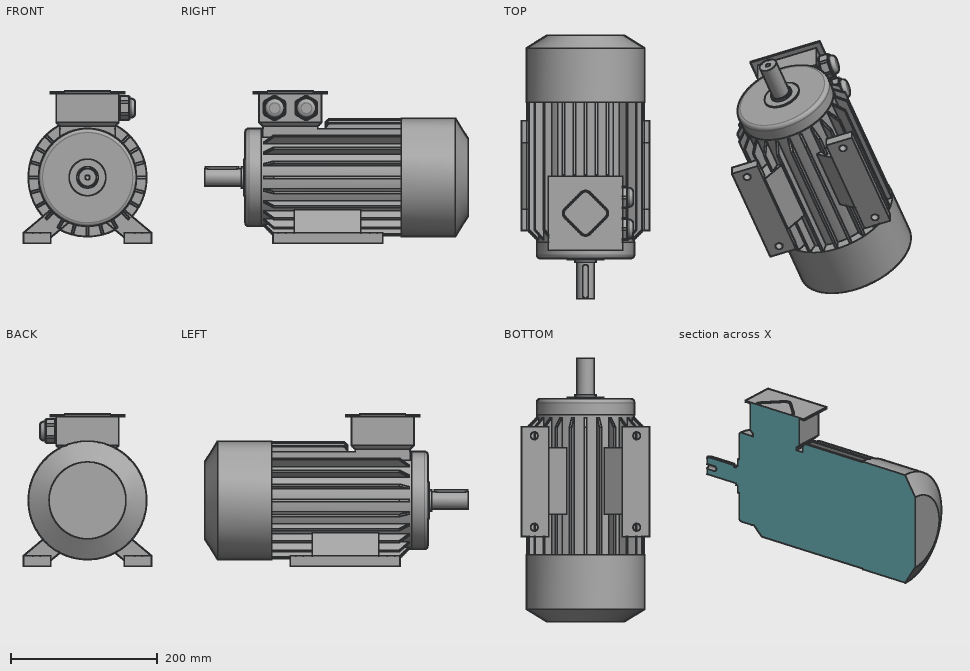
import cadquery as cq
import math


collar_front = 50.0
cover_disc_front = 53.3
shield_front = 55.0
shield_rear = 77.5
cowl_front = 268.5
cowl_cone_front = 342.5
motor_rear = 360.0

shaft_diameter = 24.0
collar_diameter = 29.0
cover_disc_diameter = 50.0
shield_diameter = 134.0
shield_fillet = 5.5
body_diameter = 133.0
cowl_diameter = 162.0
cowl_rear_diameter = 105.0
centre_hole_diameter = 6.5
centre_hole_depth = 14.5
centre_hole_tip_angle = 118

key_width = 8.0
key_length = 45.7
key_front = 1.0
key_top = 14.8
key_height = 7.0

fin_thickness = 3.2
fin_radius = 80.0
fin_pitch_angle = 15
fin_span_half_angle = 135
fin_front = 81.0
top_fin_front = 165.0
top_fin_spacing = 15.0
top_fin_count = 5
top_fin_chamfer = 4.5

box_centre_y = 117.0
box_size = 85.5
box_bottom = 70.0
box_top = 114.0
saddle_width = 75.2
saddle_top = 66.5
box_bottom_chamfer = (box_size - saddle_width) / 2
lid_size = 101.0
lid_top = 116.5

frame_size = 49.5
frame_corner_radius = 9.0
frame_width = 1.8
frame_height = 1.5

gland_spacing = 43.2
gland_axis_z = 94.5
gland_across_flats = 30.2
hexagon_sides = 6
gland_corner_diameter = 33.0
gland_nut_start = 44.5
gland_nut_end = 56.0
gland_washer_end = 58.0
gland_cap_diameter = 26.3
gland_cap_end = 65.0
gland_cap_fillet = 5.8

foot_half_span = 87.5
foot_width = 37.5
foot_length = 150.0
foot_height = 14.5
foot_bottom = -90.0
foot_front = 93.2
foot_hole_diameter = 10.0
foot_hole_inset = 12.5
foot_hole_x = 70.0
leg_front = 122.5
leg_length = 90.7
leg_angle = 40
leg_drop = 6.5
leg_reach = 54.0


def cylinder_along_y(diameter, start, end):
    return cq.Workplane("XZ", origin=(0, start, 0)).circle(diameter / 2).extrude(start - end)


def cylinder_along_x(diameter, start, end):
    return cq.Workplane("YZ", origin=(start, 0, 0)).circle(diameter / 2).extrude(end - start)


def block(x_size, y_start, y_end, z_start, z_end):
    """Box centred on X = 0."""
    return (
        cq.Workplane("XY", origin=(0, y_start, z_start))
        .box(x_size, y_end - y_start, z_end - z_start, centered=(True, False, False))
    )


def make_housing():
    shield = cylinder_along_y(shield_diameter, shield_front, shield_rear)
    shield = shield.faces("<Y").edges().fillet(shield_fillet)
    body = cylinder_along_y(body_diameter, shield_rear, cowl_front)
    cowl = (
        cq.Workplane("XY")
        .moveTo(0, cowl_front)
        .lineTo(cowl_diameter / 2, cowl_front)
        .lineTo(cowl_diameter / 2, cowl_cone_front)
        .lineTo(cowl_rear_diameter / 2, motor_rear)
        .lineTo(0, motor_rear)
        .close()
        .revolve(360, (0, 0, 0), (0, 1, 0))
    )
    cover_disc = cylinder_along_y(cover_disc_diameter, cover_disc_front, shield_front)
    return shield.union(body).union(cowl).union(cover_disc)


def make_shaft():
    shaft = cylinder_along_y(shaft_diameter, 0, shield_front)
    collar = cylinder_along_y(collar_diameter, collar_front, shield_front)
    key = (
        cq.Workplane("XY", origin=(0, key_front + key_length / 2, key_top - key_height))
        .slot2D(key_length, key_width, 90)
        .extrude(key_height)
    )
    hole_radius = centre_hole_diameter / 2
    tip_depth = hole_radius / math.tan(math.radians(centre_hole_tip_angle / 2))
    centre_hole = (
        cq.Workplane("XY")
        .lineTo(hole_radius, 0)
        .lineTo(hole_radius, centre_hole_depth)
        .lineTo(0, centre_hole_depth + tip_depth)
        .close()
        .revolve(360, (0, 0, 0), (0, 1, 0))
    )
    return shaft.union(collar).union(key).cut(centre_hole)


def fin_envelope(front, chamfer):
    """Solid of revolution that bounds the fins: full radius, with a 45 degree cone at the front."""
    return cylinder_along_y(2 * fin_radius, front, cowl_front).faces("<Y").edges().chamfer(chamfer)


def make_radial_fins():
    fin_blank = block(fin_thickness, fin_front, cowl_front, 0, cowl_diameter / 2)
    fins = cq.Workplane("XY")
    for angle in range(-fin_span_half_angle, fin_span_half_angle + 1, fin_pitch_angle):
        fins = fins.union(fin_blank.rotate((0, 0, 0), (0, 1, 0), 180 + angle))
    return fins.intersect(fin_envelope(fin_front, fin_radius - body_diameter / 2))


def make_top_fins():
    fin_blank = block(fin_thickness, top_fin_front, cowl_front, 0, cowl_diameter / 2)
    fins = cq.Workplane("XY")
    for index in range(top_fin_count):
        offset = (index - (top_fin_count - 1) / 2) * top_fin_spacing
        fins = fins.union(fin_blank.translate((offset, 0, 0)))
    return fins.intersect(fin_envelope(top_fin_front, top_fin_chamfer))


def make_terminal_box():
    saddle_front = box_centre_y - saddle_width / 2
    saddle_rear = box_centre_y + saddle_width / 2
    saddle = block(saddle_width, saddle_front, cowl_front, 0, saddle_top)
    pedestal = block(saddle_width, saddle_front, saddle_rear, 0, box_bottom)
    box_front = box_centre_y - box_size / 2
    box = block(box_size, box_front, box_front + box_size, box_bottom, box_top)
    box = box.faces("<Z").edges().chamfer(box_bottom_chamfer)
    lid_front = box_centre_y - lid_size / 2
    lid = block(lid_size, lid_front, lid_front + lid_size, box_top, lid_top)
    return saddle.union(pedestal).union(box).union(lid)


def rounded_square(size, corner_radius):
    return cq.Workplane("XY").rect(size, size).extrude(frame_height).edges("|Z").fillet(corner_radius)


def make_lid_frame():
    outer = rounded_square(frame_size, frame_corner_radius)
    inner = rounded_square(frame_size - 2 * frame_width, frame_corner_radius - frame_width)
    return outer.cut(inner).rotate((0, 0, 0), (0, 0, 1), 45).translate((0, box_centre_y, lid_top))


def make_gland():
    """Cable gland along +X: hexagon nut with rounded corners, washer and domed cap."""
    washer = cylinder_along_x(gland_across_flats, box_size / 2, gland_washer_end)
    half_side_angle = 180 / hexagon_sides
    across_corners = gland_across_flats / math.cos(math.radians(half_side_angle))
    nut = (
        cq.Workplane("YZ", origin=(gland_nut_start, 0, 0))
        .polygon(hexagon_sides, across_corners)
        .extrude(gland_nut_end - gland_nut_start)
        .rotate((0, 0, 0), (1, 0, 0), half_side_angle)
        .intersect(cylinder_along_x(gland_corner_diameter, gland_nut_start, gland_nut_end))
    )
    cap = cylinder_along_x(gland_cap_diameter, gland_washer_end, gland_cap_end)
    cap = cap.faces(">X").edges().fillet(gland_cap_fillet)
    return washer.union(nut).union(cap)


def make_glands():
    gland = make_gland()
    front = gland.translate((0, box_centre_y - gland_spacing / 2, gland_axis_z))
    rear = gland.translate((0, box_centre_y + gland_spacing / 2, gland_axis_z))
    return front.union(rear)


def make_foot():
    """Foot on the +X side: drilled base pad and a slanted leg that runs into the body."""
    foot_top = foot_bottom + foot_height
    pad_inner = foot_half_span - foot_width
    pad = (
        cq.Workplane("XY", origin=(pad_inner, foot_front, foot_bottom))
        .box(foot_width, foot_length, foot_height, centered=False)
    )
    slope = math.tan(math.radians(leg_angle))
    leg_rise = leg_reach * slope
    inner_end = foot_top - leg_drop
    leg = (
        cq.Workplane("XZ", origin=(0, leg_front, 0))
        .moveTo(foot_half_span, foot_top)
        .lineTo(foot_half_span - leg_reach, foot_top + leg_rise)
        .lineTo(pad_inner - leg_reach, inner_end + leg_rise)
        .lineTo(pad_inner, inner_end)
        .lineTo(pad_inner, foot_top)
        .close()
        .extrude(-leg_length)
    )
    hole_rows = [foot_front + foot_hole_inset, foot_front + foot_length - foot_hole_inset]
    holes = (
        cq.Workplane("XY", origin=(0, 0, foot_bottom))
        .pushPoints([(foot_hole_x, y) for y in hole_rows])
        .circle(foot_hole_diameter / 2)
        .extrude(foot_height)
    )
    return pad.union(leg).cut(holes)


foot = make_foot()

result = (
    make_housing()
    .union(make_shaft())
    .union(make_radial_fins())
    .union(make_top_fins())
    .union(make_terminal_box())
    .union(make_lid_frame())
    .union(make_glands())
    .union(foot)
    .union(foot.mirror("YZ"))
)